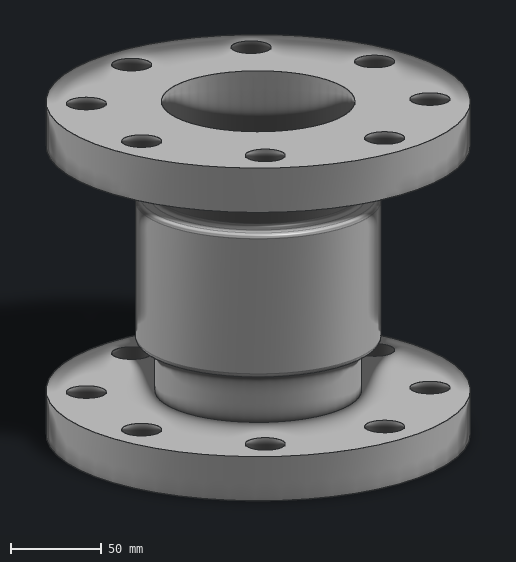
import cadquery as cq

flange_diameter = 235.0
flange_thickness = 25.8
total_height = 194.0

tube_diameter = 114.7
bore_diameter = 107.2

sleeve_diameter = 136.0
sleeve_height = 84.0
sleeve_edge_radius = 2.5
sleeve_root_radius = 2.8

bolt_count = 8
bolt_hole_diameter = 22.0
bolt_circle_diameter = 190.4
bolt_pitch_angle = 360 / bolt_count


def turned_upper_half():
    """Upper half of the bored body, revolved about Z from its section in the XZ plane."""
    bore_radius = bore_diameter / 2
    tube_radius = tube_diameter / 2
    sleeve_radius = sleeve_diameter / 2
    flange_radius = flange_diameter / 2
    sleeve_top = sleeve_height / 2
    flange_top = total_height / 2
    flange_bottom = flange_top - flange_thickness

    section = (
        cq.Workplane("XZ")
        .moveTo(bore_radius, 0)
        .lineTo(sleeve_radius, 0)
        .lineTo(sleeve_radius, sleeve_top - sleeve_edge_radius)
        .tangentArcPoint((sleeve_radius - sleeve_edge_radius, sleeve_top), relative=False)
        .lineTo(tube_radius + sleeve_root_radius, sleeve_top)
        .tangentArcPoint((tube_radius, sleeve_top + sleeve_root_radius), relative=False)
        .lineTo(tube_radius, flange_bottom)
        .lineTo(flange_radius, flange_bottom)
        .lineTo(flange_radius, flange_top)
        .lineTo(bore_radius, flange_top)
        .close()
    )
    return section.revolve(360, (0, 0, 0), (0, 1, 0))


def bolt_holes():
    """Cutters for the bolt holes, passing through both flanges."""
    return (
        cq.Workplane("XY", origin=(0, 0, -total_height / 2))
        .polarArray(bolt_circle_diameter / 2, bolt_pitch_angle / 2, 360, bolt_count)
        .circle(bolt_hole_diameter / 2)
        .extrude(total_height)
    )


upper_half = turned_upper_half()
lower_half = upper_half.rotate((0, 0, 0), (1, 0, 0), 180)
body = upper_half.union(lower_half)

result = body.cut(bolt_holes())